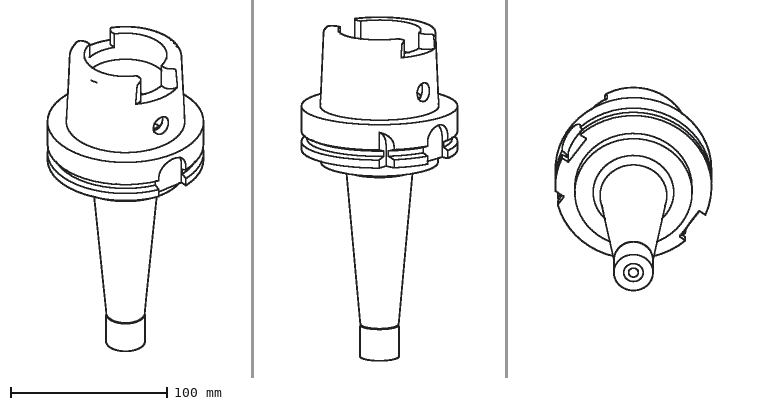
import cadquery as cq
import math


overall_length = 215

shank_height = 50.0
shank_base_diameter = 76.0
shank_top_diameter = 71.5
shank_rim_radius = 2.0
mouth_diameter = 52.9
mouth_depth = 19.5
chamber_diameter = 63.0
chamber_ledge_z = 6.0
chamber_fillet_radius = 3.7
well_floor_z = -13.0
access_hole_diameter = 12.0
access_hole_z = 15.0

drive_slot_width = 20.0
drive_slot_depth_minus_x = 10.0
drive_slot_depth_plus_x = 15.0
drive_slot_corner_radius = 5.2
drive_slot_flat_x = 32.2

flange_diameter = 100.0
flange_height = 28.5
groove_center_depth = 20.0
groove_floor_diameter = 92.9
groove_floor_width = 3.5
groove_mouth_width = 6.7

keyway_width_minus_x = 20.0
keyway_width_plus_x = 22.0
notch_arc_center_z = -14.6
keyway_floor_x = 44.0
side_notch_width = keyway_width_minus_x
side_notch_floor_x = 32.2
side_notch_center_y = 41.3

collar_diameter = 75.0
collar_bottom_z = -37.0
cone_top_diameter = 51.5
neck_top_z = -42.0
neck_top_diameter = 42.8
neck_bottom_z = -143.6
neck_bottom_diameter = 24.7
spigot_diameter = 19.0
spigot_length = 11.6

tube_seat_diameter = 24.3
tube_seat_depth = 19.4
passage_diameter = 12.5

nut_diameter = 25.2
nut_gap = 0.6
nut_bottom_z = shank_height - overall_length
nut_chamfer_height = 2.0
nut_chamfer_width = 0.2

collet_top_z = -124.7
collet_seat_diameter = 16.0
collet_bore_diameter = 6.2

spigot_bottom_z = neck_bottom_z - spigot_length
overall_radius = flange_diameter / 2


def revolved(profile):
    """Turn a closed (radius, Z) profile around the Z axis."""
    return cq.Workplane("XZ").polyline(profile).close().revolve(360, (0, 0), (0, 1))


def cylinder(diameter, bottom_z, top_z):
    return cq.Workplane("XY").workplane(offset=bottom_z).circle(diameter / 2).extrude(top_z - bottom_z)


def holder_outside():
    shank = revolved([
        (0, 0),
        (shank_base_diameter / 2, 0),
        (shank_top_diameter / 2, shank_height),
        (0, shank_height),
    ]).faces(">Z").edges().fillet(shank_rim_radius)
    floor_half = groove_floor_width / 2
    mouth_half = groove_mouth_width / 2
    flange_and_neck = revolved([
        (0, 0),
        (flange_diameter / 2, 0),
        (flange_diameter / 2, -groove_center_depth + mouth_half),
        (groove_floor_diameter / 2, -groove_center_depth + floor_half),
        (groove_floor_diameter / 2, -groove_center_depth - floor_half),
        (flange_diameter / 2, -groove_center_depth - mouth_half),
        (flange_diameter / 2, -flange_height),
        (collar_diameter / 2, -flange_height),
        (collar_diameter / 2, collar_bottom_z),
        (cone_top_diameter / 2, collar_bottom_z),
        (neck_top_diameter / 2, neck_top_z),
        (neck_bottom_diameter / 2, neck_bottom_z),
        (spigot_diameter / 2, neck_bottom_z),
        (spigot_diameter / 2, spigot_bottom_z),
        (0, spigot_bottom_z),
    ])
    return shank.union(flange_and_neck)


def holder_inside():
    """Stepped bore from the shank mouth down to the end of the spigot.

    The chamber is wider than the mouth; below its ledge the bore returns to the mouth diameter.
    """
    mouth_bottom_z = shank_height - mouth_depth
    tube_seat_bottom_z = well_floor_z - tube_seat_depth
    fillet_center_r = chamber_diameter / 2 - chamber_fillet_radius
    fillet_center_z = chamber_ledge_z + chamber_fillet_radius
    fillet_middle = chamber_fillet_radius * math.sin(math.pi / 4)
    return (
        cq.Workplane("XZ")
        .moveTo(0, shank_height)
        .lineTo(mouth_diameter / 2, shank_height)
        .lineTo(mouth_diameter / 2, mouth_bottom_z)
        .lineTo(chamber_diameter / 2, mouth_bottom_z)
        .lineTo(chamber_diameter / 2, fillet_center_z)
        .threePointArc(
            (fillet_center_r + fillet_middle, fillet_center_z - fillet_middle),
            (fillet_center_r, chamber_ledge_z),
        )
        .lineTo(mouth_diameter / 2, chamber_ledge_z)
        .lineTo(mouth_diameter / 2, well_floor_z)
        .lineTo(tube_seat_diameter / 2, well_floor_z)
        .lineTo(tube_seat_diameter / 2, tube_seat_bottom_z)
        .lineTo(passage_diameter / 2, tube_seat_bottom_z)
        .lineTo(passage_diameter / 2, collet_top_z)
        .lineTo(collet_seat_diameter / 2, spigot_bottom_z)
        .lineTo(0, spigot_bottom_z)
        .close()
        .revolve(360, (0, 0), (0, 1))
    )


def drive_slot(side, depth):
    """Slot through the rim wall whose outer corners flare out in quarter circles."""
    half = drive_slot_width / 2
    radius = drive_slot_corner_radius
    flare_start_x = drive_slot_flat_x - radius
    arc_middle_x = flare_start_x + radius * math.sin(math.pi / 4)
    arc_middle_y = half + radius * (1 - math.cos(math.pi / 4))
    tip_y = half + radius
    return (
        cq.Workplane("XY").workplane(offset=shank_height - depth)
        .moveTo(0, -half)
        .lineTo(side * flare_start_x, -half)
        .threePointArc((side * arc_middle_x, -arc_middle_y), (side * drive_slot_flat_x, -tip_y))
        .lineTo(side * drive_slot_flat_x, -overall_radius)
        .lineTo(side * overall_radius, -overall_radius)
        .lineTo(side * overall_radius, overall_radius)
        .lineTo(side * drive_slot_flat_x, overall_radius)
        .lineTo(side * drive_slot_flat_x, tip_y)
        .threePointArc((side * arc_middle_x, arc_middle_y), (side * flare_start_x, half))
        .lineTo(0, half)
        .close()
        .extrude(depth)
    )


def flange_notch(side, width, floor_x, center_y):
    """Notch cut along X into the flange, round at the top and open at the bottom."""
    half = width / 2
    return (
        cq.Workplane("YZ").workplane(offset=side * floor_x)
        .moveTo(center_y - half, -flange_height)
        .lineTo(center_y - half, notch_arc_center_z)
        .threePointArc((center_y, notch_arc_center_z + half), (center_y + half, notch_arc_center_z))
        .lineTo(center_y + half, -flange_height)
        .close()
        .extrude(side * (overall_radius - floor_x))
    )


def make_holder():
    access_hole = (
        cq.Workplane("YZ").center(0, access_hole_z).circle(access_hole_diameter / 2)
        .extrude(overall_radius, both=True)
    )
    holder = holder_outside().cut(holder_inside()).cut(access_hole)
    holder = holder.cut(drive_slot(-1, drive_slot_depth_minus_x))
    holder = holder.cut(drive_slot(1, drive_slot_depth_plus_x))
    holder = holder.cut(flange_notch(-1, keyway_width_minus_x, keyway_floor_x, 0))
    holder = holder.cut(flange_notch(1, keyway_width_plus_x, keyway_floor_x, 0))
    return holder.cut(flange_notch(-1, side_notch_width, side_notch_floor_x, side_notch_center_y))


def make_nut():
    """Nut screwed on the spigot, with a lip around the lower end of the collet."""
    nut_top_z = neck_bottom_z - nut_gap
    return revolved([
        (spigot_diameter / 2, nut_top_z),
        (nut_diameter / 2 - nut_chamfer_width, nut_top_z),
        (nut_diameter / 2, nut_top_z - nut_chamfer_height),
        (nut_diameter / 2, nut_bottom_z),
        (passage_diameter / 2, nut_bottom_z),
        (passage_diameter / 2, spigot_bottom_z),
        (spigot_diameter / 2, spigot_bottom_z),
    ])


def make_collet():
    """Conical in the spigot, straight inside the lip of the nut."""
    body = revolved([
        (0, collet_top_z),
        (passage_diameter / 2, collet_top_z),
        (collet_seat_diameter / 2, spigot_bottom_z),
        (passage_diameter / 2, spigot_bottom_z),
        (passage_diameter / 2, nut_bottom_z),
        (0, nut_bottom_z),
    ])
    return body.cut(cylinder(collet_bore_diameter, nut_bottom_z, collet_top_z))


holder = make_holder()
nut = make_nut()
collet = make_collet()

result = cq.Compound.makeCompound([holder.val(), nut.val(), collet.val()])